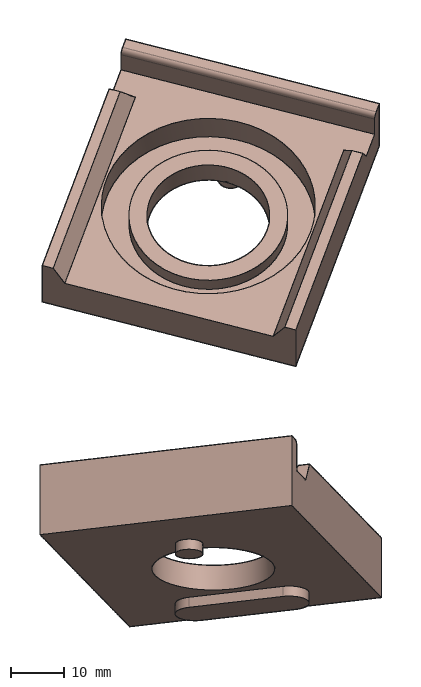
import cadquery as cq
import math

width = 50.0
depth = 53.0
plate_height = 8.0
rail_top = 12.0
lip_top = 14.0

lip_thickness = 3.0
lip_round = 1.0

rail_top_width = 2.15
rail_slope = math.radians(60)
rail_gap = 5.2
rail_run = (rail_top - plate_height) / math.tan(rail_slope)
rail_foot_width = rail_top_width + rail_run
rail_foot_end = depth - lip_thickness - rail_gap

bore_y = 24.95
recess_diameter = 40.3
ring_diameter = 29.9
bore_diameter = 23.1
recess_floor = 2.0
ring_top = 5.0

foot_height = 2.0
pin_diameter = 5.2
pin_y = 39.25
bar_y = 7.95
bar_length = 26.2
bar_width = 7.5


def block(y_start, y_end, height):
    """Full-width block standing on the underside plane."""
    return cq.Workplane("XY").box(width, y_end - y_start, height, centered=(True, False, False)).translate(
        (0, y_start, 0)
    )


def cylinder(diameter, bottom, top):
    """Upright cylinder on the bore axis."""
    return cq.Workplane("XY", origin=(0, bore_y, bottom)).circle(diameter / 2).extrude(top - bottom)


def rails():
    """Left and right rails: a sloped-end side profile with the tapered channel removed."""
    side_profile = [
        (0, 0),
        (rail_foot_end, 0),
        (rail_foot_end, plate_height),
        (rail_foot_end - rail_run, rail_top),
        (0, rail_top),
    ]
    blank = cq.Workplane("YZ", origin=(-width / 2, 0, 0)).polyline(side_profile).close().extrude(width)

    half_floor = width / 2 - rail_foot_width
    half_opening = width / 2 - rail_top_width
    channel_profile = [
        (-half_floor, plate_height),
        (half_floor, plate_height),
        (half_opening, rail_top),
        (-half_opening, rail_top),
    ]
    channel = cq.Workplane("XZ").polyline(channel_profile).close().extrude(-depth)
    return blank.cut(channel)


def lip():
    """Back wall with its upper front edge rounded."""
    return block(depth - lip_thickness, depth, lip_top).edges("|X and >Z and <Y").fillet(lip_round)


def feet():
    """Round pin at the back and round-ended bar at the front."""
    underside = cq.Workplane("XY")
    pin = underside.center(0, pin_y).circle(pin_diameter / 2).extrude(-foot_height)
    bar = underside.center(0, bar_y).slot2D(bar_length, bar_width).extrude(-foot_height)
    return pin.union(bar)


body = block(0, depth, plate_height).union(rails()).union(lip())
body = body.cut(cylinder(recess_diameter, recess_floor, plate_height))
body = body.union(cylinder(ring_diameter, 0, ring_top))
body = body.cut(cylinder(bore_diameter, 0, ring_top))
result = body.union(feet())